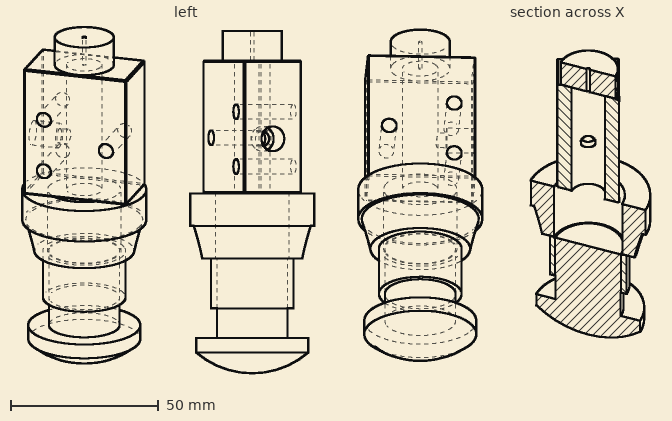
import cadquery as cq
import math

PIN_HEIGHT = 10.0
BLOCK_HEIGHT = 45.0
RIM_HEIGHT = 11.0
FLARE_HEIGHT = 11.1
SLEEVE_HEIGHT = 16.8
STEM_EXPOSED = 10.0
HEAD_HEIGHT = 5.0
TOTAL_HEIGHT = 115.8
DOME_HEIGHT = TOTAL_HEIGHT - (
    PIN_HEIGHT + BLOCK_HEIGHT + RIM_HEIGHT + FLARE_HEIGHT + SLEEVE_HEIGHT + STEM_EXPOSED + HEAD_HEIGHT
)

RIM_BOTTOM = -RIM_HEIGHT
COLLAR_BOTTOM = RIM_BOTTOM - FLARE_HEIGHT
SLEEVE_BOTTOM = COLLAR_BOTTOM - SLEEVE_HEIGHT
HEAD_TOP = SLEEVE_BOTTOM - STEM_EXPOSED
HEAD_BOTTOM = HEAD_TOP - HEAD_HEIGHT
DOME_TIP = HEAD_BOTTOM - DOME_HEIGHT

PIN_DIAMETER = 20.0
VENT_DIAMETER = 1.0

BLOCK_LENGTH = 36.5
BLOCK_WIDTH = 21.0
BLOCK_ANGLE = 22.5
BLOCK_CHAMFER = 0.5

MOUNT_DIAMETER = 5.0
MOUNT_OFFSET = 11.0
MOUNT_LOW = 9.0
MOUNT_MIDDLE = 18.8
MOUNT_HIGH = 27.6

PORT_LEVEL = 18.4
PORT_DIAMETER = 8.3
PORT_DEPTH = 9.4
PORT_BORE_DIAMETER = 5.0

SPOOL_BORE_DIAMETER = 12.0

RIM_DIAMETER = 42.0
FLARE_TOP_DIAMETER = 39.6
FLARE_BOTTOM_DIAMETER = 33.8
FLARE_HOLLOW = 0.14
COLLAR_BORE_DIAMETER = 24.8

SLEEVE_DIAMETER = 28.0
STEM_DIAMETER = 24.0
HEAD_DIAMETER = 38.0


def make_pin():
    """Round pin standing on the block, with a small vent down its axis."""
    return (
        cq.Workplane("XY")
        .workplane(offset=BLOCK_HEIGHT)
        .circle(PIN_DIAMETER / 2)
        .circle(VENT_DIAMETER / 2)
        .extrude(PIN_HEIGHT)
    )


def make_block():
    """Chamfered valve block with mounting holes, a spool bore and a stepped end port."""
    body = (
        cq.Workplane("XY")
        .box(BLOCK_LENGTH, BLOCK_WIDTH, BLOCK_HEIGHT, centered=(True, True, False))
        .edges()
        .chamfer(BLOCK_CHAMFER)
    )
    mounts = (
        cq.Workplane("XZ")
        .pushPoints([
            (-MOUNT_OFFSET, MOUNT_LOW),
            (-MOUNT_OFFSET, MOUNT_HIGH),
            (MOUNT_OFFSET, MOUNT_MIDDLE),
        ])
        .circle(MOUNT_DIAMETER / 2)
        .extrude(BLOCK_WIDTH, both=True)
    )
    port_face = cq.Workplane("YZ", origin=(-BLOCK_LENGTH / 2, 0, PORT_LEVEL))
    port = port_face.circle(PORT_DIAMETER / 2).extrude(PORT_DEPTH)
    port_bore = port_face.circle(PORT_BORE_DIAMETER / 2).extrude(BLOCK_LENGTH / 2)
    spool_bore = cq.Workplane("XY").circle(SPOOL_BORE_DIAMETER / 2).extrude(BLOCK_HEIGHT)
    block_along_x = body.cut(mounts).cut(port).cut(port_bore).cut(spool_bore)
    return block_along_x.rotate((0, 0, 0), (0, 0, 1), BLOCK_ANGLE)


def make_collar():
    """Cylindrical rim over a slightly hollow flare, bored right through."""
    bore = COLLAR_BORE_DIAMETER / 2
    rim = RIM_DIAMETER / 2
    flare_top = FLARE_TOP_DIAMETER / 2
    flare_bottom = FLARE_BOTTOM_DIAMETER / 2
    slope = math.atan2(flare_top - flare_bottom, FLARE_HEIGHT)
    flare_middle = (
        (flare_top + flare_bottom) / 2 - FLARE_HOLLOW * math.cos(slope),
        (RIM_BOTTOM + COLLAR_BOTTOM) / 2 + FLARE_HOLLOW * math.sin(slope),
    )
    return (
        cq.Workplane("XZ")
        .moveTo(bore, 0)
        .lineTo(rim, 0)
        .lineTo(rim, RIM_BOTTOM)
        .lineTo(flare_top, RIM_BOTTOM)
        .threePointArc(flare_middle, (flare_bottom, COLLAR_BOTTOM))
        .lineTo(bore, COLLAR_BOTTOM)
        .close()
        .revolve(360, (0, 0, 0), (0, 1, 0))
    )


def make_sleeve():
    """Tube under the collar that guides the button stem."""
    return (
        cq.Workplane("XY")
        .workplane(offset=SLEEVE_BOTTOM)
        .circle(SLEEVE_DIAMETER / 2)
        .circle(STEM_DIAMETER / 2)
        .extrude(SLEEVE_HEIGHT)
    )


def make_button():
    """Push button: stem filling the sleeve, disc head and spherical dome below."""
    stem = STEM_DIAMETER / 2
    head = HEAD_DIAMETER / 2
    dome_radius = (head**2 + DOME_HEIGHT**2) / (2 * DOME_HEIGHT)
    half_angle = math.asin(head / dome_radius) / 2
    dome_middle = (
        dome_radius * math.sin(half_angle),
        DOME_TIP + dome_radius * (1 - math.cos(half_angle)),
    )
    return (
        cq.Workplane("XZ")
        .moveTo(0, COLLAR_BOTTOM)
        .lineTo(stem, COLLAR_BOTTOM)
        .lineTo(stem, HEAD_TOP)
        .lineTo(head, HEAD_TOP)
        .lineTo(head, HEAD_BOTTOM)
        .threePointArc(dome_middle, (0, DOME_TIP))
        .close()
        .revolve(360, (0, 0, 0), (0, 1, 0))
    )


pin = make_pin()
block = make_block()
collar = make_collar()
sleeve = make_sleeve()
button = make_button()

result = cq.Compound.makeCompound([
    pin.val(),
    block.val(),
    collar.val(),
    sleeve.val(),
    button.val(),
])